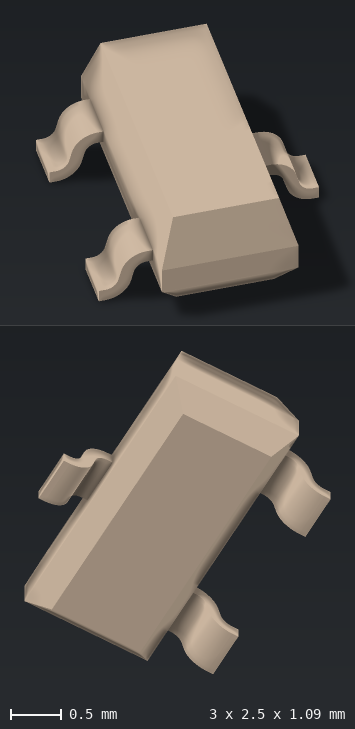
import cadquery as cq
import math

HOUSING_LENGTH = 3.0
HOUSING_WIDTH = 1.395
HOUSING_HEIGHT = 1.09
WAIST_BOTTOM = 0.275
WAIST_TOP = 0.558
TOP_INSET = 0.155
BOTTOM_INSET = 0.198

OVERALL_WIDTH = 2.5
LEAD_WIDTH = 0.5
LEAD_THICKNESS = 0.135
LEAD_TOP = 0.543
LEAD_PITCH = 1.83
FOOT_FLAT = 0.07
BEND_INNER_RADIUS = 0.135
BEND_ANGLE = 75.0

MARKER_DIAMETER = 0.15
MARKER_DEPTH = 0.015
MARKER_EDGE_DISTANCE = 0.312


def make_taper(start_z, end_z, inset):
    """Frustum from the full housing outline to an outline inset on every side."""
    return (
        cq.Workplane("XY", origin=(0, 0, start_z))
        .rect(HOUSING_LENGTH, HOUSING_WIDTH)
        .workplane(offset=end_z - start_z)
        .rect(HOUSING_LENGTH - 2 * inset, HOUSING_WIDTH - 2 * inset)
        .loft(ruled=True)
    )


def make_marker():
    """Thin disc beside pin 1."""
    return (
        cq.Workplane("XY", origin=(0, 0, HOUSING_HEIGHT))
        .center(-LEAD_PITCH / 2, MARKER_EDGE_DISTANCE - HOUSING_WIDTH / 2)
        .circle(MARKER_DIAMETER / 2)
        .extrude(-MARKER_DEPTH)
    )


def make_housing():
    """Housing with a shallow recess that holds the marker."""
    waist = (
        cq.Workplane("XY", origin=(0, 0, WAIST_BOTTOM))
        .rect(HOUSING_LENGTH, HOUSING_WIDTH)
        .extrude(WAIST_TOP - WAIST_BOTTOM)
    )
    cap = make_taper(WAIST_TOP, HOUSING_HEIGHT, TOP_INSET)
    base = make_taper(WAIST_BOTTOM, 0, BOTTOM_INSET)
    return waist.union(cap).union(base).cut(make_marker())


def make_lead(x):
    """Lead on the -Y side, centred at x, from the foot tip to the housing wall."""
    inner = BEND_INNER_RADIUS
    outer = inner + LEAD_THICKNESS
    angle = math.radians(BEND_ANGLE)
    tip_y = -OVERALL_WIDTH / 2
    wall_y = -HOUSING_WIDTH / 2

    foot_y = tip_y + FOOT_FLAT
    foot_z = LEAD_THICKNESS + inner
    shoulder_z = LEAD_TOP - outer
    shank_rise = shoulder_z - foot_z + (inner + outer) * math.cos(angle)
    shoulder_y = foot_y + (inner + outer) * math.sin(angle) + shank_rise / math.tan(angle)

    def foot_point(radius, turn):
        return foot_y + radius * math.sin(turn), foot_z - radius * math.cos(turn)

    def shoulder_point(radius, turn):
        return shoulder_y - radius * math.sin(turn), shoulder_z + radius * math.cos(turn)

    return (
        cq.Workplane("YZ", origin=(x - LEAD_WIDTH / 2, 0, 0))
        .moveTo(tip_y, 0)
        .lineTo(*foot_point(outer, 0))
        .threePointArc(foot_point(outer, angle / 2), foot_point(outer, angle))
        .lineTo(*shoulder_point(inner, angle))
        .threePointArc(shoulder_point(inner, angle / 2), shoulder_point(inner, 0))
        .lineTo(wall_y, LEAD_TOP - LEAD_THICKNESS)
        .lineTo(wall_y, LEAD_TOP)
        .lineTo(*shoulder_point(outer, 0))
        .threePointArc(shoulder_point(outer, angle / 2), shoulder_point(outer, angle))
        .lineTo(*foot_point(inner, angle))
        .threePointArc(foot_point(inner, angle / 2), foot_point(inner, 0))
        .lineTo(tip_y, LEAD_THICKNESS)
        .close()
        .extrude(LEAD_WIDTH)
    )


housing = make_housing()
marker = make_marker()
leads = [make_lead(x) for x in (-LEAD_PITCH / 2, LEAD_PITCH / 2)]
leads.append(make_lead(0).rotate((0, 0, 0), (0, 0, 1), 180))

result = cq.Compound.makeCompound([housing.val(), marker.val(), *[lead.val() for lead in leads]])